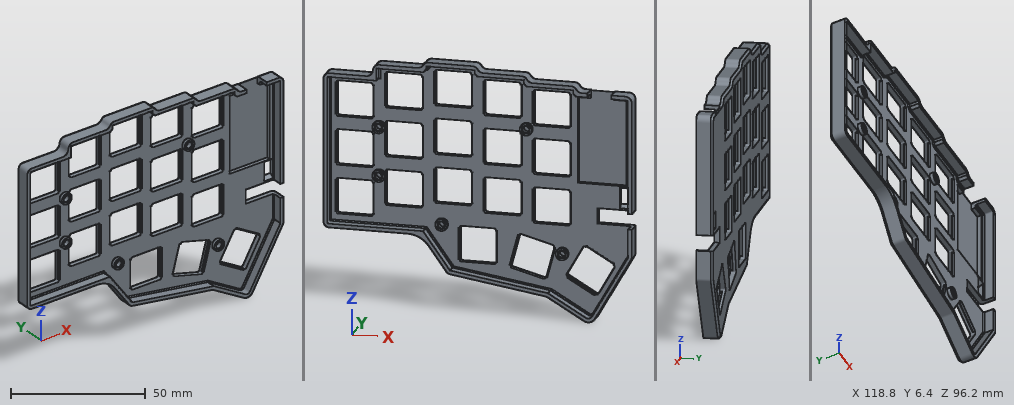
import cadquery as cq
import math


WIDTH = 118.75
HEIGHT = 96.18
DEPTH = 6.4
PLATE_THICKNESS = 2.2
PLATE_FRONT = DEPTH - PLATE_THICKNESS
WALL = 1.5
BACK_CHAMFER = 0.9
BASE_CHAMFER = 0.5
OVERCUT = 1.0
SAME_POINT = 1e-6

PITCH = 18.97
STAGGER = 2.375
COLUMN_1_X = 10.9
COLUMN_3_TOP_Z = 85.35
ROWS = 3
COLUMN_DROPS = [3 * STAGGER, STAGGER, 0, STAGGER, 2 * STAGGER]
THUMB_KEYS = [(58.3, 25.4, 0), (79.3, 22.65, -15), (101.7, 18.9, 60)]

KEY_SIZE = 13.9
KEY_CORNER_RADIUS = 0.7
NOTCH_WIDTH = 14.9
NOTCH_HEIGHT = 12.2
NOTCH_DEPTH = 0.9

TOP_Z = [HEIGHT - drop for drop in COLUMN_DROPS]
SHOULDER_Z = HEIGHT - 3 * STAGGER
BIG_STEP_X = 19.0
RISING_STEP_X = 38.35
FALLING_STEP_X = 59.45
FALLING_STEPS = 3
SMALL_STEP_X = [RISING_STEP_X] + [FALLING_STEP_X + i * PITCH for i in range(FALLING_STEPS)]
STEP_RADIUS = 2.5
INNER_BIG_STEP_X = 20.4
INNER_STEP_SHIFT = 1.2
INNER_STEP_BEVEL = 1.0
INNER_RADIUS = 0.6
BOTTOM_LEFT_Z = 28.96
BEND_X = 37.6
THUMB_LEFT = (47.9, 14.6)
THUMB_MIDDLE = (85.95, 8.72)
TIP_RADIUS = 3.0
TIP_ANGLE = 30
LEFT_RADIUS = 2.25
SHOULDER_RADIUS = 2.5
THUMB_RADIUS = 2.0
BEND_RADIUS = 10.0

POCKET_LEFT = 96.9
POCKET_RIGHT = 115.5
POCKET_BOTTOM = 52.7
POCKET_TOP = 86.0
POCKET_FLOOR = 0.5
GAP_LEFT = 101.6
GAP_RIGHT = 110.9
WINDOW_LEFT = 113.0
WINDOW_BOTTOM = 44.15
WINDOW_TOP = 52.4
WINDOW_TAPER = 1.1
SLOT_LEFT = 104.4
SLOT_BOTTOM = 37.4
SLOT_TOP = 43.4

BOSS_CENTRES = [(20.4, 68.5), (20.4, 49.6), (44.6, 32.5), (77.2, 72.2), (91.0, 24.8)]
BOSS_DIAMETER = 4.6
BOSS_HEIGHT = 1.5
BOSS_ROOT = 0.5
BOSS_MOUTH_DIAMETER = 3.09
BOSS_HOLE_DIAMETER = 2.53
BOSS_HOLE_DEPTH = 2.5


def front_plane(y):
    """XZ workplane at depth y; positive extrusion would go towards -Y."""
    return cq.Workplane("XZ", origin=(0, y, 0))


def box(x0, x1, y0, y1, z0, z1):
    return cq.Workplane("XY").box(x1 - x0, y1 - y0, z1 - z0, centered=False).translate((x0, y0, z0))


def thumb_corners():
    """Sharp corners of the thumb tip and of the right-hand side above it."""
    slope = math.tan(math.radians(TIP_ANGLE))
    tip_angle = math.radians(45 + TIP_ANGLE)
    tip_z = TIP_RADIUS - TIP_RADIUS * math.sqrt(2) * math.sin(tip_angle)
    tip_x = THUMB_MIDDLE[0] + (THUMB_MIDDLE[1] - tip_z) / slope
    side_z = tip_z + (WIDTH - tip_x) / slope
    return (tip_x, tip_z), (WIDTH, side_z)


TIP, SIDE = thumb_corners()


def flat_vector(corner):
    return cq.Vector(corner[0], corner[1])


def rounded_prism(corners, y0, y1):
    """Prism through (x, z, radius) corners, each with a radius rounded by a tangent arc."""
    points = [flat_vector(corner) for corner in corners]
    wire = front_plane(y0)
    for i, here in enumerate(points):
        radius = corners[i][2]
        back = (points[i - 1] - here).normalized()
        ahead = (points[(i + 1) % len(points)] - here).normalized()
        half_angle = back.getAngle(ahead) / 2
        reach = radius / math.tan(half_angle)
        start = here + back * reach
        if i == 0:
            wire = wire.moveTo(start.x, start.y)
        elif (start - end).Length > SAME_POINT:
            wire = wire.lineTo(start.x, start.y)
        end = here + ahead * reach
        if radius > 0:
            to_centre = (back + ahead).normalized()
            middle = here + to_centre * (radius / math.sin(half_angle) - radius)
            wire = wire.threePointArc((middle.x, middle.y), (end.x, end.y))
    return wire.close().extrude(y0 - y1)


def step_corners(x, z0, z1):
    """Two equal arcs that meet at mid-height and join the levels z0 and z1 smoothly."""
    rise = abs(z1 - z0)
    steepness = math.acos(1 - rise / (2 * STEP_RADIUS))
    half_run = rise / 2 / math.tan(steepness)
    return [(x - half_run, z0, STEP_RADIUS), (x + half_run, z1, STEP_RADIUS)]


def small_steps():
    """Middle X, level before and level after each small step of the top edge."""
    levels = TOP_Z[1:] + [SHOULDER_Z]
    return list(zip(SMALL_STEP_X, levels, levels[1:]))


LEFT_CORNERS = [(0, BOTTOM_LEFT_Z, LEFT_RADIUS), (0, SHOULDER_Z, LEFT_RADIUS)]
RIGHT_CORNERS = [
    (WIDTH, SHOULDER_Z, SHOULDER_RADIUS),
    (*SIDE, THUMB_RADIUS),
    (*TIP, TIP_RADIUS),
    (*THUMB_MIDDLE, THUMB_RADIUS),
    (*THUMB_LEFT, THUMB_RADIUS),
    (BEND_X, BOTTOM_LEFT_Z, BEND_RADIUS),
]


def outer_corners():
    steps = step_corners(BIG_STEP_X, SHOULDER_Z, TOP_Z[1])
    for x, z0, z1 in small_steps():
        steps += step_corners(x, z0, z1)
    return LEFT_CORNERS + steps + RIGHT_CORNERS


def inset(before, corner, after, radius):
    """The corner moved inwards by the wall thickness, for a clockwise outline."""
    arriving = (flat_vector(corner) - flat_vector(before)).normalized()
    leaving = (flat_vector(after) - flat_vector(corner)).normalized()
    normals = cq.Vector(arriving.y + leaving.y, -arriving.x - leaving.x)
    moved = flat_vector(corner) + normals * (WALL / (1 + arriving.dot(leaving)))
    return (moved.x, moved.y, radius)


def inner_corners():
    straight = LEFT_CORNERS + RIGHT_CORNERS
    left_radii = [INNER_RADIUS, INNER_RADIUS]
    right_radii = [INNER_RADIUS, 0, TIP_RADIUS - WALL, 0, 0, 0]
    moved = []
    for i, radius in enumerate(left_radii + right_radii):
        after = straight[(i + 1) % len(straight)]
        moved.append(inset(straight[i - 1], straight[i], after, radius))
    steps = [
        (INNER_BIG_STEP_X, SHOULDER_Z - WALL, 0),
        (INNER_BIG_STEP_X, TOP_Z[1] - WALL, 0),
    ]
    for x, z0, z1 in small_steps():
        low_z = min(z0, z1) - WALL
        high_z = max(z0, z1) - WALL
        inward = 1 if z1 > z0 else -1
        upright_x = x + inward * INNER_STEP_SHIFT
        step = [
            (upright_x - inward * INNER_STEP_BEVEL, low_z, 0),
            (upright_x, low_z + INNER_STEP_BEVEL, 0),
            (upright_x, high_z, 0),
        ]
        steps += step if inward > 0 else step[::-1]
    left_count = len(LEFT_CORNERS)
    return moved[:left_count] + steps + moved[left_count:]


def shell():
    """Outer block with a chamfered back, hollowed from the front down to the plate."""
    block = rounded_prism(outer_corners(), 0, DEPTH).faces(">Y").chamfer(BACK_CHAMFER)
    cavity = rounded_prism(inner_corners(), 0, PLATE_FRONT).faces(">Y").chamfer(BASE_CHAMFER)
    return block.cut(cavity)


def key_centres():
    """X, Z and tilt of every switch opening."""
    centres = list(THUMB_KEYS)
    for column, drop in enumerate(COLUMN_DROPS):
        for row in range(ROWS):
            x = COLUMN_1_X + column * PITCH
            z = COLUMN_3_TOP_Z - drop - row * PITCH
            centres.append((x, z, 0))
    return centres


def switch_cutter(x, z, tilt):
    """Rounded square through the plate, with clip notches on two sides of its front face."""
    back = DEPTH + OVERCUT
    half_key = KEY_SIZE / 2
    opening = box(-half_key, half_key, 0, back, -half_key, half_key)
    opening = opening.edges("|Y").fillet(KEY_CORNER_RADIUS)
    notch_back = PLATE_FRONT + NOTCH_DEPTH
    half_width = NOTCH_WIDTH / 2
    half_height = NOTCH_HEIGHT / 2
    notch = box(-half_width, half_width, PLATE_FRONT, notch_back, -half_height, half_height)
    cutter = opening.union(notch)
    return cutter.rotate((0, 0, 0), (0, -1, 0), tilt).translate((x, 0, z))


def controller_pocket():
    """Deep pocket for the controller, with a gap for its cable through the top wall."""
    floor = DEPTH - POCKET_FLOOR
    pocket = box(POCKET_LEFT, POCKET_RIGHT, PLATE_FRONT - OVERCUT, floor, POCKET_BOTTOM, POCKET_TOP)
    gap = box(GAP_LEFT, GAP_RIGHT, -OVERCUT, floor, POCKET_TOP - OVERCUT, HEIGHT)
    return pocket.union(gap)


def switch_window():
    """Opening beside the right wall whose top and bottom close in towards the back."""
    right = WIDTH - WALL
    profile = [
        (PLATE_FRONT, WINDOW_BOTTOM),
        (PLATE_FRONT, WINDOW_TOP),
        (DEPTH, WINDOW_TOP - WINDOW_TAPER),
        (DEPTH, WINDOW_BOTTOM + WINDOW_TAPER),
    ]
    side_plane = cq.Workplane("YZ", origin=(WINDOW_LEFT, 0, 0))
    return side_plane.polyline(profile).close().extrude(right - WINDOW_LEFT)


def side_slot():
    return box(SLOT_LEFT, WIDTH + OVERCUT, -OVERCUT, DEPTH + OVERCUT, SLOT_BOTTOM, SLOT_TOP)


def boss(x, z):
    """Screw boss standing on the plate."""
    top = PLATE_FRONT - BOSS_HEIGHT
    disc = front_plane(top).center(x, z).circle(BOSS_DIAMETER / 2)
    return disc.extrude(-BOSS_HEIGHT - BOSS_ROOT)


def boss_hole(x, z):
    """Blind hole with a chamfered mouth."""
    top = PLATE_FRONT - BOSS_HEIGHT
    mouth_depth = (BOSS_MOUTH_DIAMETER - BOSS_HOLE_DIAMETER) / 2
    hole = front_plane(top).center(x, z).circle(BOSS_HOLE_DIAMETER / 2).extrude(-BOSS_HOLE_DEPTH)
    mouth = cq.Solid.makeCone(
        BOSS_MOUTH_DIAMETER / 2,
        BOSS_HOLE_DIAMETER / 2,
        mouth_depth,
        pnt=cq.Vector(x, top, z),
        dir=cq.Vector(0, 1, 0),
    )
    return hole.union(cq.Workplane(mouth))


result = shell()
for key in key_centres():
    result = result.cut(switch_cutter(*key))
result = result.cut(controller_pocket()).cut(switch_window()).cut(side_slot())
for centre in BOSS_CENTRES:
    result = result.union(boss(*centre))
for centre in BOSS_CENTRES:
    result = result.cut(boss_hole(*centre))